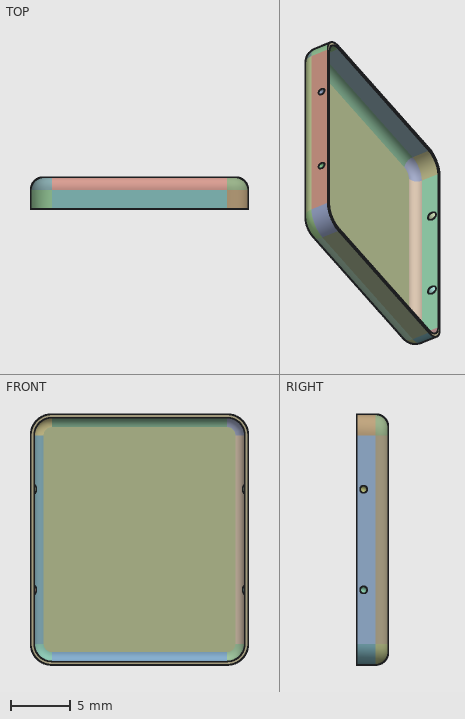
import cadquery as cq

width = 18.4
depth = 2.7
height = 21.2
wall = 0.3

corner_radius = 1.8
back_edge_radius = 1.1

dimple_radius = 0.3
bump_height = 0.2
bump_radius = wall + bump_height
snap_spacing = 8.5
snap_from_rim = 0.6

rim_y = -depth / 2
snap_y = rim_y + snap_from_rim
side_x = width / 2


def rounded_block(inset):
    """Block with rounded corners and back edge, inset on all sides except at the rim."""
    return (
        cq.Workplane("XZ", origin=(0, rim_y, 0))
        .rect(width - 2 * inset, height - 2 * inset)
        .extrude(-(depth - inset))
        .edges("|Y")
        .fillet(corner_radius - inset)
        .faces(">Y")
        .edges()
        .fillet(back_edge_radius - inset)
    )


def snap_ball(side, z, radius):
    """Half ball centred on the outer face of a side wall, its round side toward the tray middle."""
    quarter_disc = (
        cq.Workplane("XY", origin=(side * side_x, snap_y, z))
        .lineTo(-side * radius, 0)
        .radiusArc((0, radius), side * radius)
        .close()
    )
    return quarter_disc.revolve(360, (0, 0), (1, 0))


tray = rounded_block(0).cut(rounded_block(wall))

for side in (-1, 1):
    for z in (-snap_spacing / 2, snap_spacing / 2):
        tray = tray.union(snap_ball(side, z, bump_radius))
        tray = tray.cut(snap_ball(side, z, dimple_radius))

result = tray